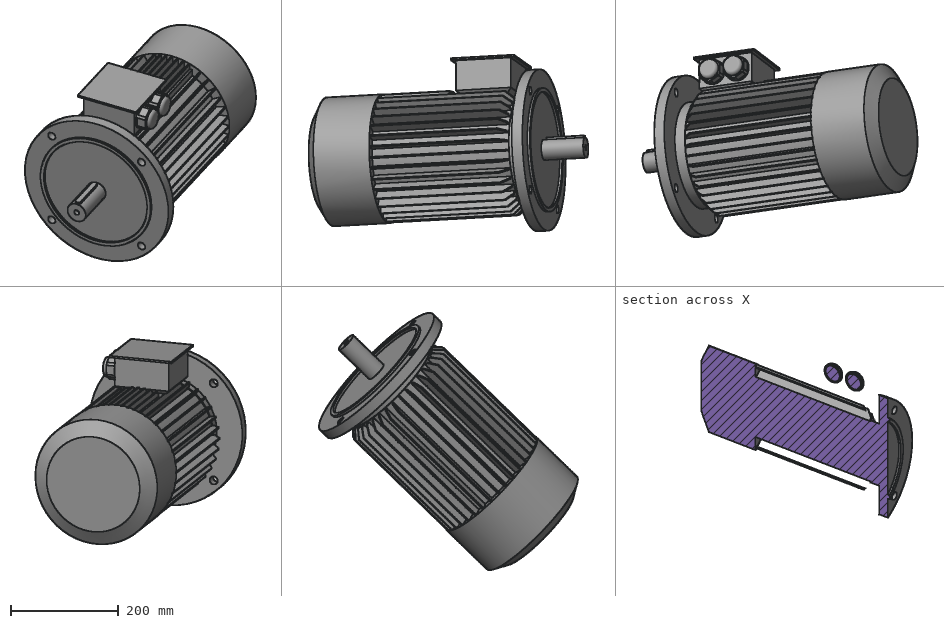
import cadquery as cq
import math


flange_d = 300.0
flange_thickness = 20.5
spigot_d = 230.0
spigot_height = 4.5
recess_d = 216.0
recess_depth = spigot_height
collar_d = 200.0
collar_length = 20.0
bolt_circle_d = 265.0
bolt_hole_d = 15.0
bolt_count = 4
first_bolt_angle = 45

shaft_d = 38.0
shaft_length = 75.5
key_width = 11.0
key_top_z = 22.5
key_end_gap = 1.0
center_hole_d = 10.0
center_hole_depth = 10.0
drill_tip_angle = 118

frame_d = 197.0
fin_circle_d = 237.5
fin_thickness = 2.5
fin_gap = 3.0
fin_length = 260.0
fin_pitch_angle = 10
fin_chamfer_length = 15.0
fin_chamfer_depth = 14.0
first_fin_angle = 30
last_fin_angle = 330

cowl_d = 240.0
cowl_length = 107.0
cowl_taper_length = 17.5
cowl_end_d = 183.0

pad_top_z = 102.5
pad_width = 84.5
pad_base_z = 86.5
top_fin_count = 7
top_fin_span = 71.5
top_fin_start_y = 169.5
top_fin_chamfer = 9.0

box_center_y = 106.5
box_width = 105.5
box_bottom_chamfer = 8.0
lid_width = 121.5
lid_thickness = 3.5
lid_top_z = 170.5

gland_pitch = 49.0
gland_center_z = 138.0
nut_corner_d = 45.5
nut_flat_width = 42.0
nut_washer_thickness = 3.0
nut_thickness = 16.5
gland_neck_d = 33.0
gland_neck_length = 1.0
gland_cap_d = 38.0
gland_cap_thickness = 8.5
gland_cap_fillet = 6.0

flange_front_y = spigot_height
flange_back_y = flange_front_y + flange_thickness
collar_back_y = flange_back_y + collar_length
fin_start_y = collar_back_y + fin_gap
cowl_front_y = fin_start_y + fin_length
cowl_shoulder_y = cowl_front_y + cowl_length
cowl_back_y = cowl_shoulder_y + cowl_taper_length

fin_r = fin_circle_d / 2
fin_root_r = frame_d / 2 - fin_thickness


def cylinder_y(diameter, start_y, end_y):
    """Solid cylinder on the motor axis between two Y positions."""
    plane = cq.Workplane("XZ", origin=(0, start_y, 0))
    return plane.circle(diameter / 2).extrude(start_y - end_y)


def block(x_range, y_range, z_range):
    """Box given by its limits along X, Y and Z."""
    size = [high - low for low, high in (x_range, y_range, z_range)]
    corner = (x_range[0], y_range[0], z_range[0])
    return cq.Workplane("XY").box(*size, centered=False).translate(corner)


def make_core():
    """Spigot, flange, collar, frame and cowl turned in one piece."""
    profile = [
        (0, 0),
        (spigot_d / 2, 0),
        (spigot_d / 2, flange_front_y),
        (flange_d / 2, flange_front_y),
        (flange_d / 2, flange_back_y),
        (collar_d / 2, flange_back_y),
        (collar_d / 2, collar_back_y),
        (frame_d / 2, collar_back_y),
        (frame_d / 2, cowl_front_y),
        (cowl_d / 2, cowl_front_y),
        (cowl_d / 2, cowl_shoulder_y),
        (cowl_end_d / 2, cowl_back_y),
        (0, cowl_back_y),
    ]
    core = cq.Workplane("XY").polyline(profile).close().revolve(360, (0, 0, 0), (0, 1, 0))
    core = core.cut(cylinder_y(recess_d, 0, recess_depth))
    for index in range(bolt_count):
        angle = math.radians(first_bolt_angle + index * 360 / bolt_count)
        hole = cylinder_y(bolt_hole_d, flange_front_y, flange_back_y)
        x = bolt_circle_d / 2 * math.cos(angle)
        z = bolt_circle_d / 2 * math.sin(angle)
        core = core.cut(hole.translate((x, 0, z)))
    return core


def make_shaft():
    """Plain shaft with a round-ended key and a drilled centre hole."""
    shaft = cylinder_y(shaft_d, -shaft_length, recess_depth)

    key_length = shaft_length - key_end_gap
    key = (
        cq.Workplane("XY")
        .center(0, -key_length / 2)
        .slot2D(key_length, key_width, 90)
        .extrude(key_top_z)
    )

    hole_r = center_hole_d / 2
    tip_length = hole_r / math.tan(math.radians(drill_tip_angle / 2))
    hole_bottom_y = center_hole_depth - shaft_length
    hole = (
        cq.Workplane("XY")
        .moveTo(0, -shaft_length)
        .lineTo(hole_r, -shaft_length)
        .lineTo(hole_r, hole_bottom_y)
        .lineTo(0, hole_bottom_y + tip_length)
        .close()
        .revolve(360, (0, 0, 0), (0, 1, 0))
    )
    return shaft.union(key).cut(hole)


def make_radial_fins():
    """Radial fins around the frame, except where the pad sits at the top."""
    fin = (
        cq.Workplane("YZ", origin=(-fin_thickness / 2, 0, 0))
        .moveTo(fin_start_y, fin_root_r)
        .lineTo(fin_start_y, fin_r - fin_chamfer_depth)
        .lineTo(fin_start_y + fin_chamfer_length, fin_r)
        .lineTo(cowl_front_y, fin_r)
        .lineTo(cowl_front_y, fin_root_r)
        .close()
        .extrude(fin_thickness)
    )
    return [
        fin.rotate((0, 0, 0), (0, 1, 0), angle)
        for angle in range(first_fin_angle, last_fin_angle + 1, fin_pitch_angle)
    ]


def make_pad():
    """Flat pad along the top of the frame, sloped at the flange end like the fins."""
    return (
        cq.Workplane("YZ", origin=(-pad_width / 2, 0, 0))
        .moveTo(fin_start_y, pad_base_z)
        .lineTo(fin_start_y, pad_top_z - fin_chamfer_depth)
        .lineTo(fin_start_y + fin_chamfer_length, pad_top_z)
        .lineTo(cowl_front_y, pad_top_z)
        .lineTo(cowl_front_y, pad_base_z)
        .close()
        .extrude(pad_width)
    )


def make_top_fins():
    """Upright parallel fins on the pad, with tips on the fin circle."""
    fins = []
    pitch = top_fin_span / (top_fin_count - 1)
    for index in range(top_fin_count):
        x = index * pitch - top_fin_span / 2
        tip_z = math.sqrt(fin_r**2 - x**2)
        fin = (
            cq.Workplane("YZ", origin=(x - fin_thickness / 2, 0, 0))
            .moveTo(top_fin_start_y, pad_base_z)
            .lineTo(top_fin_start_y, tip_z - top_fin_chamfer)
            .lineTo(top_fin_start_y + top_fin_chamfer, tip_z)
            .lineTo(cowl_front_y, tip_z)
            .lineTo(cowl_front_y, pad_base_z)
            .close()
            .extrude(fin_thickness)
        )
        fins.append(fin)
    return fins


def make_terminal_box():
    """Box chamfered around its bottom, under a thin overhanging lid."""
    half_box = box_width / 2
    half_lid = lid_width / 2
    lid_bottom_z = lid_top_z - lid_thickness
    box_y = (box_center_y - half_box, box_center_y + half_box)
    lid_y = (box_center_y - half_lid, box_center_y + half_lid)
    box = block((-half_box, half_box), box_y, (pad_top_z, lid_bottom_z))
    box = box.faces("<Z").edges().chamfer(box_bottom_chamfer)
    return box.union(block((-half_lid, half_lid), lid_y, (lid_bottom_z, lid_top_z)))


def make_gland(center_y):
    """Cable gland: round washer, hexagon nut, neck and rounded cap."""
    wall_x = box_width / 2
    nut_x = wall_x + nut_washer_thickness
    neck_x = nut_x + nut_thickness
    cap_x = neck_x + gland_neck_length

    def disc(diameter, start_x, length):
        plane = cq.Workplane("YZ", origin=(start_x, center_y, gland_center_z))
        return plane.circle(diameter / 2).extrude(length)

    washer = disc(nut_corner_d, wall_x, nut_washer_thickness)
    hexagon = (
        cq.Workplane("YZ", origin=(nut_x, center_y, gland_center_z))
        .polygon(6, nut_flat_width, circumscribed=True)
        .extrude(nut_thickness)
    )
    nut = hexagon.intersect(disc(nut_corner_d, nut_x, nut_thickness))
    neck = disc(gland_neck_d, neck_x, gland_neck_length)
    cap = disc(gland_cap_d, cap_x, gland_cap_thickness)
    cap = cap.faces(">X").edges().fillet(gland_cap_fillet)
    return washer.union(nut).union(neck).union(cap)


result = make_core().union(make_shaft()).union(make_pad())
for fin in make_radial_fins() + make_top_fins():
    result = result.union(fin)
result = result.union(make_terminal_box())
for side in (-1, 1):
    result = result.union(make_gland(box_center_y + side * gland_pitch / 2))